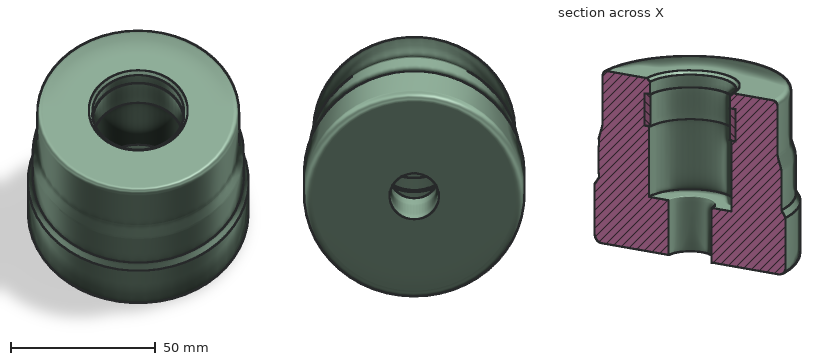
import cadquery as cq

height = 62.9
base_radius = 38.1
middle_radius = 36.45
top_radius = 34.9
base_height = 21.1
base_bevel_height = 2.5
taper_bottom = 37.95
taper_top = 42.95
bottom_round = 3.0
top_round = 2.0
taper_blend = 3.5

mouth_radius = 15.87
mouth_chamfer = 1.2
lower_bore_radius = 16.3
floor_height = 20.0
lower_bore_round = 0.6
hole_radius = 8.5
hole_round = 0.4

ring_inner_radius = 15.7
ring_outer_radius = 18.0
ring_height = 11.5
ring_depth = 5.8
ring_top = height - ring_depth
ring_bottom = ring_top - ring_height


def cylinder(radius, bottom, top):
    """Solid cylinder on the Z axis between two heights."""
    return cq.Workplane("XY").workplane(offset=bottom).circle(radius).extrude(top - bottom)


def circle_at(radius, level):
    """Selector for the circular edge of one radius at one height."""
    margin = 0.1
    reach = radius + margin
    return cq.selectors.BoxSelector(
        (-reach, -reach, level - margin), (reach, reach, level + margin), boundingbox=True
    )


def make_blank():
    """Outer shape: three diameters joined by a bevel and a blended taper."""
    outline = [
        (0, 0),
        (base_radius, 0),
        (base_radius, base_height),
        (middle_radius, base_height + base_bevel_height),
        (middle_radius, taper_bottom),
        (top_radius, taper_top),
        (top_radius, height),
        (0, height),
    ]
    blank = cq.Workplane("XZ").polyline(outline).close().revolve(360, (0, 0), (0, 1))
    blank = blank.edges(circle_at(base_radius, 0)).fillet(bottom_round)
    blank = blank.edges(circle_at(top_radius, height)).fillet(top_round)
    blank = blank.edges(circle_at(middle_radius, taper_bottom)).fillet(taper_blend)
    return blank.edges(circle_at(top_radius, taper_top)).fillet(taper_blend)


def make_housing():
    """Blank with the chamfered bore, the ring groove and the through hole, with rounded inner edges."""
    housing = make_blank()
    housing = housing.cut(cylinder(hole_radius, 0, height))
    housing = housing.cut(cylinder(lower_bore_radius, floor_height, ring_bottom))
    housing = housing.cut(cylinder(ring_outer_radius, ring_bottom, ring_top))
    housing = housing.cut(cylinder(mouth_radius, ring_top, height))
    housing = housing.edges(circle_at(mouth_radius, height)).chamfer(mouth_chamfer)
    housing = housing.edges(circle_at(lower_bore_radius, ring_bottom)).fillet(lower_bore_round)
    return housing.edges(circle_at(hole_radius, floor_height)).fillet(hole_round)


def make_guide_ring():
    """Plain ring that fills the groove."""
    ring = cylinder(ring_outer_radius, ring_bottom, ring_top)
    return ring.cut(cylinder(ring_inner_radius, ring_bottom, ring_top))


housing = make_housing()
guide_ring = make_guide_ring()

result = cq.Compound.makeCompound([housing.val(), guide_ring.val()])